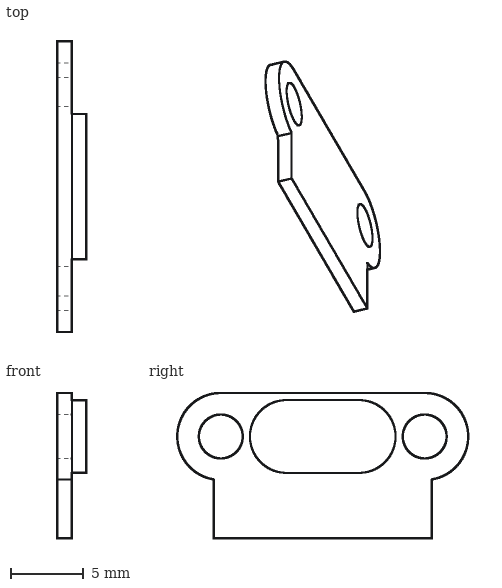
import cadquery as cq

plate_thickness = 1.0
plate_length = 20.0
plate_height = 10.0
end_radius = 3.0
tab_width = 15.0
hole_diameter = 3.0

pad_thickness = 1.0
pad_length = 10.0
pad_height = 5.0

bar_height = 2 * end_radius
bar_center_z = plate_height - end_radius
hole_spacing = plate_length - bar_height


def rounded_bar(start_x, length, height, thickness):
    """Bar along Y with full-round ends, extruded toward +X at the bar's center height."""
    return (
        cq.Workplane("YZ", origin=(start_x, 0, bar_center_z))
        .slot2D(length, height)
        .extrude(thickness)
    )


def make_tab():
    """Rectangular tab from the lower edge up to the bar's centerline."""
    return (
        cq.Workplane("YZ", origin=(0, 0, bar_center_z / 2))
        .rect(tab_width, bar_center_z)
        .extrude(plate_thickness)
    )


def make_holes():
    """Through holes concentric with the rounded ends."""
    return (
        cq.Workplane("YZ", origin=(0, 0, bar_center_z))
        .pushPoints([(-hole_spacing / 2, 0), (hole_spacing / 2, 0)])
        .circle(hole_diameter / 2)
        .extrude(plate_thickness)
    )


bar = rounded_bar(0, plate_length, bar_height, plate_thickness)
plate = bar.union(make_tab()).cut(make_holes())
pad = rounded_bar(plate_thickness, pad_length, pad_height, pad_thickness)

result = plate.union(pad)